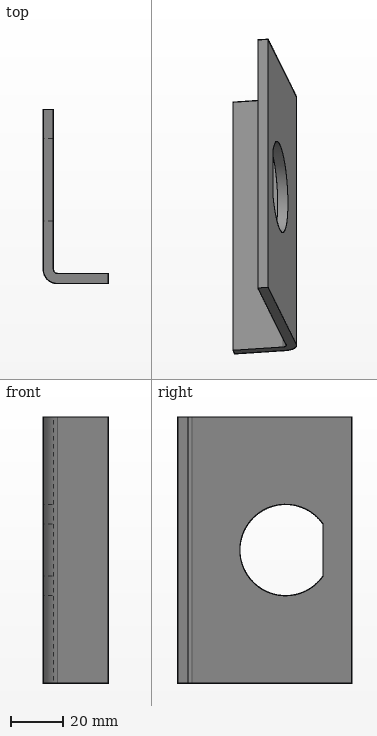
import cadquery as cq

flange_width = 25.0
web_width = 66.7
height = 102.0

thickness = 4.0
inner_bend_radius = 1.5
outer_bend_radius = inner_bend_radius + thickness

hole_radius = 17.4
hole_center_y = 41.3
flat_distance = 14.3


def bent_plate():
    """L-shaped sheet with its bend along the Z axis."""
    outer = cq.Workplane("XY").box(flange_width, web_width, height, centered=False)
    outer = outer.edges("|Z and <X and <Y").fillet(outer_bend_radius)
    inside = (
        cq.Workplane("XY")
        .box(flange_width, web_width, height, centered=False)
        .edges("|Z and <X and <Y")
        .fillet(inner_bend_radius)
        .translate((thickness, thickness, 0))
    )
    return outer.cut(inside)


def d_hole():
    """Cutter through the web: a cylinder trimmed flat on its +Y side."""
    round_part = cq.Workplane("YZ").circle(hole_radius).extrude(thickness)
    trim_width = hole_radius + flat_distance
    trim = (
        cq.Workplane("YZ")
        .center(flat_distance - trim_width / 2, 0)
        .rect(trim_width, 2 * hole_radius)
        .extrude(thickness)
    )
    return round_part.intersect(trim).translate((0, hole_center_y, height / 2))


result = bent_plate().cut(d_hole())